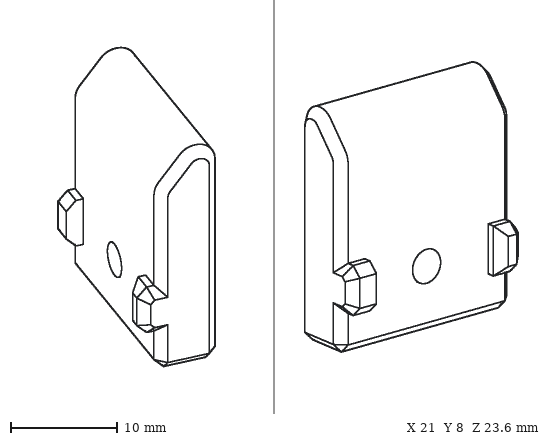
import cadquery as cq
import math

width = 21.0
height = 23.65
body_depth = 6.25
edge_chamfer = 1.0

round_radius = 2.0
crest_flat = 0.07
slope_end_height = 19.12

tab_reach = 1.75
tab_width = 3.0
tab_height = 5.02
tab_center_height = 6.67

hole_diameter = 3.4
hole_height = 6.67


def arc_point(center, angle):
    """Point on a rounding; angle is measured from up, turning toward the front."""
    return (
        center[0] - round_radius * math.sin(angle),
        center[1] + round_radius * math.cos(angle),
    )


def make_body():
    """Extruded side profile with both ends and the bottom chamfered."""
    back_center = (body_depth - round_radius, height - round_radius)
    crest_center = (back_center[0] - crest_flat, back_center[1])
    front_center = (round_radius, slope_end_height)
    slope = math.atan2(
        crest_center[1] - front_center[1],
        crest_center[0] - front_center[0],
    )
    quarter = math.pi / 2
    profile = (
        cq.Workplane("YZ", origin=(-width / 2, 0, 0))
        .moveTo(0, 0)
        .lineTo(body_depth, 0)
        .lineTo(*arc_point(back_center, -quarter))
        .threePointArc(arc_point(back_center, -quarter / 2), arc_point(back_center, 0))
        .lineTo(*arc_point(crest_center, 0))
        .threePointArc(arc_point(crest_center, slope / 2), arc_point(crest_center, slope))
        .lineTo(*arc_point(front_center, slope))
        .threePointArc(
            arc_point(front_center, (slope + quarter) / 2),
            arc_point(front_center, quarter),
        )
        .close()
    )
    return profile.extrude(width).faces("<X or >X or <Z").edges().chamfer(edge_chamfer)


def make_tab(side, inner_chamfer):
    """Tab flush with one end of the body; side is -1 or +1 along x."""
    tab_depth = tab_reach + body_depth / 2
    tab = cq.Workplane("XY").box(tab_width, tab_depth, tab_height)
    outer_face = ">X" if side > 0 else "<X"
    inner_face = "<X" if side > 0 else ">X"
    front_edges = tab.faces("<Y").edges(f"not {outer_face}")
    if not inner_chamfer:
        front_edges = front_edges.edges(f"not {inner_face}")
    tab = front_edges.chamfer(edge_chamfer)
    tab = tab.faces(outer_face).edges("not >Y").chamfer(edge_chamfer)
    return tab.translate(
        (side * (width - tab_width) / 2, tab_depth / 2 - tab_reach, tab_center_height)
    )


body = make_body()
left_tab = make_tab(-1, inner_chamfer=False)
right_tab = make_tab(1, inner_chamfer=True)
hole = (
    cq.Workplane("XZ", origin=(0, body_depth, 0))
    .center(0, hole_height)
    .circle(hole_diameter / 2)
    .extrude(body_depth)
)
result = body.union(left_tab).union(right_tab).cut(hole)